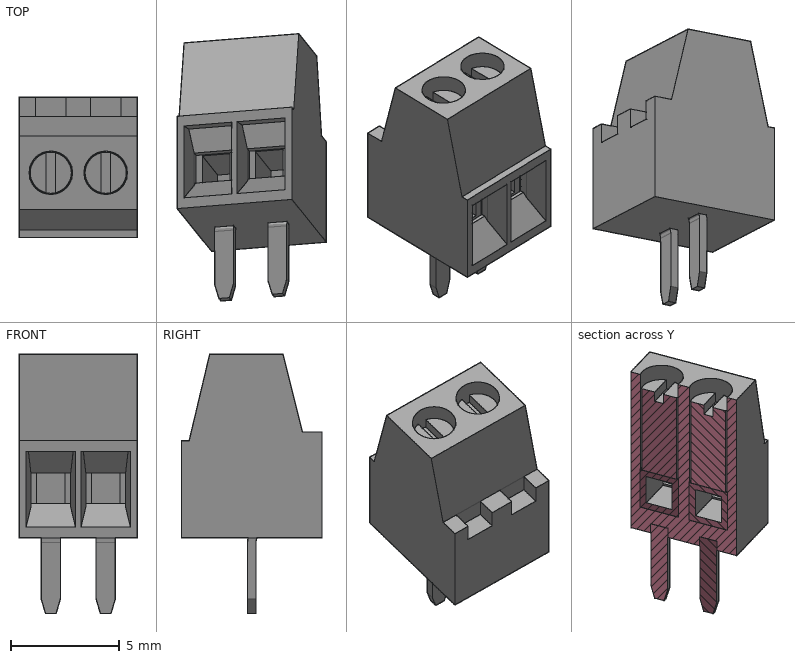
import cadquery as cq
import math


pitch = 2.54
pole_xs = [-pitch / 2, pitch / 2]

housing_width = 5.48
housing_depth = 6.5
housing_height = 8.5
front_ledge_depth = 0.35
front_ledge_height = 4.5
back_ledge_depth = 0.9
back_ledge_height = 4.9
top_front_y = 1.3
top_back_y = 4.7
notch_width = 1.4
notch_height = back_ledge_depth

mouth_width = 2.28
mouth_bottom = 0.5
mouth_top = 4.0
throat_width = 1.84
throat_bottom = 1.6
throat_top = 3.0
side_taper_depth = 1.05
ceiling_flat_depth = 0.5
ramp_depth = 1.25
throat_end_y = 1.42

screw_y = 3.0
screw_diameter = 1.9
screw_hole_diameter = 2.0
screw_recess = 0.75
screw_slot_width = 0.44
screw_slot_depth = 0.5

clamp_front_y = 1.55
clamp_depth = 2 * (screw_y - clamp_front_y)
clamp_wall = 0.32
clamp_opening_width = 1.32
clamp_width = clamp_opening_width + 2 * clamp_wall
clamp_bottom = throat_bottom - clamp_wall
clamp_top = throat_top + clamp_wall
clamp_back_y = clamp_front_y + clamp_depth

pin_width = 0.9
pin_thickness = 0.4
pin_front_y = 3.05
pin_length = 3.5
pin_tip_width = 0.5
pin_tip_length = 0.68
pin_bend_start_z = -0.22
pin_bend_radius = 0.5
pin_bend_angle = math.radians(20)


def box(width, y_range, z_range):
    """Block centred on X = 0 between the given Y and Z limits."""
    return cq.Workplane("XY").box(
        width, y_range[1] - y_range[0], z_range[1] - z_range[0], centered=(True, False, False)
    ).translate((0, y_range[0], z_range[0]))


def side_extrusion(outline, width):
    """Closed (Y, Z) outline extruded along X, centred on X = 0."""
    return cq.Workplane("YZ").polyline(outline).close().extrude(width / 2, both=True)


def wire_entry():
    side_outline = [
        (0, mouth_bottom),
        (ramp_depth, throat_bottom),
        (throat_end_y, throat_bottom),
        (throat_end_y, throat_top),
        (side_taper_depth, throat_top),
        (ceiling_flat_depth, mouth_top),
        (0, mouth_top),
    ]
    plan_outline = [
        (-mouth_width / 2, 0),
        (mouth_width / 2, 0),
        (throat_width / 2, side_taper_depth),
        (throat_width / 2, throat_end_y),
        (-throat_width / 2, throat_end_y),
        (-throat_width / 2, side_taper_depth),
    ]
    plan = cq.Workplane("XY").polyline(plan_outline).close().extrude(housing_height)
    return side_extrusion(side_outline, mouth_width).intersect(plan)


def screw_hole():
    return (
        cq.Workplane("XY", origin=(0, screw_y, clamp_top))
        .circle(screw_hole_diameter / 2)
        .extrude(housing_height - clamp_top)
    )


def clamp_cavity():
    return box(clamp_width, (throat_end_y, clamp_back_y), (clamp_bottom, clamp_top))


def back_notch():
    return box(
        notch_width,
        (housing_depth - back_ledge_depth, housing_depth),
        (back_ledge_height - notch_height, back_ledge_height),
    )


def make_pin():
    pin_back_y = pin_front_y + pin_thickness
    outer_radius = pin_bend_radius + pin_thickness
    bend_center_y = pin_back_y + pin_bend_radius

    def bend_point(radius, angle):
        return (
            bend_center_y - radius * math.cos(angle),
            pin_bend_start_z + radius * math.sin(angle),
        )

    def shank_top(bend_end):
        rise = clamp_bottom - bend_end[1]
        return (bend_end[0] + rise * math.tan(pin_bend_angle), clamp_bottom)

    front_bend_end = bend_point(outer_radius, pin_bend_angle)
    back_bend_end = bend_point(pin_bend_radius, pin_bend_angle)
    strip = (
        cq.Workplane("YZ")
        .moveTo(pin_front_y, -pin_length)
        .lineTo(pin_front_y, pin_bend_start_z)
        .threePointArc(bend_point(outer_radius, pin_bend_angle / 2), front_bend_end)
        .lineTo(*shank_top(front_bend_end))
        .lineTo(*shank_top(back_bend_end))
        .lineTo(*back_bend_end)
        .threePointArc(bend_point(pin_bend_radius, pin_bend_angle / 2), (pin_back_y, pin_bend_start_z))
        .lineTo(pin_back_y, -pin_length)
        .close()
        .extrude(pin_width / 2, both=True)
    )
    face_outline = [
        (-pin_tip_width / 2, -pin_length),
        (pin_tip_width / 2, -pin_length),
        (pin_width / 2, -pin_length + pin_tip_length),
        (pin_width / 2, clamp_bottom),
        (-pin_width / 2, clamp_bottom),
        (-pin_width / 2, -pin_length + pin_tip_length),
    ]
    tapered_face = cq.Workplane("XZ").polyline(face_outline).close().extrude(-housing_depth)
    return strip.intersect(tapered_face)


def make_clamp():
    outer = box(clamp_width, (clamp_front_y, clamp_back_y), (clamp_bottom, clamp_top))
    opening = box(clamp_opening_width, (clamp_front_y, clamp_back_y), (throat_bottom, throat_top))
    return outer.cut(opening)


def make_screw():
    head_z = housing_height - screw_recess
    body = (
        cq.Workplane("XY", origin=(0, screw_y, clamp_top))
        .circle(screw_diameter / 2)
        .extrude(head_z - clamp_top)
    )
    slot_y_range = (screw_y - screw_diameter, screw_y + screw_diameter)
    return body.cut(box(screw_slot_width, slot_y_range, (head_z - screw_slot_depth, head_z)))


def make_housing():
    profile = [
        (0, 0),
        (housing_depth, 0),
        (housing_depth, back_ledge_height),
        (housing_depth - back_ledge_depth, back_ledge_height),
        (top_back_y, housing_height),
        (top_front_y, housing_height),
        (front_ledge_depth, front_ledge_height),
        (0, front_ledge_height),
    ]
    body = side_extrusion(profile, housing_width)
    pole_cuts = [wire_entry(), clamp_cavity(), screw_hole(), back_notch(), make_pin()]
    for x in pole_xs:
        for cut in pole_cuts:
            body = body.cut(cut.translate((x, 0, 0)))
    return body


housing = make_housing()
clamps = [make_clamp().translate((x, 0, 0)) for x in pole_xs]
screws = [make_screw().translate((x, 0, 0)) for x in pole_xs]
pins = [make_pin().translate((x, 0, 0)) for x in pole_xs]

result = cq.Compound.makeCompound([body.solids().val() for body in [housing, *clamps, *screws, *pins]])